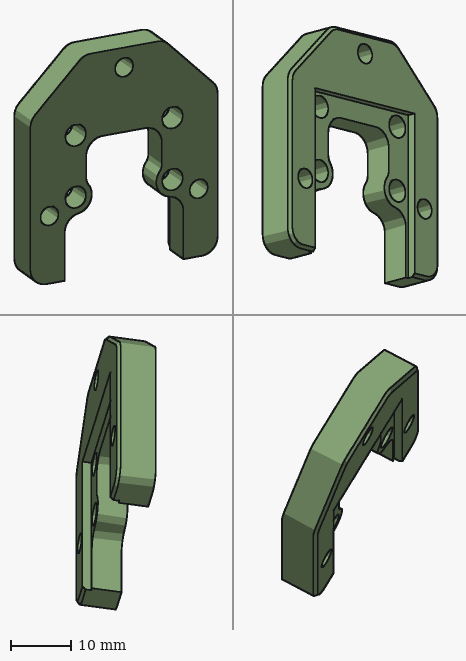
import cadquery as cq
import math

thickness = 6.5
width = 34.72
height = 39.5
shoulder_cut = 9.95
corner_radius = 3.0
edge_chamfer = 0.55

recess_half_width = 11.5
recess_top = 27.93
recess_depth = 1.5

upper_half_width = 7.0
upper_top = 24.5
lower_half_width = 11.0
upper_corner_radius = 3.0
boss_radius = 3.0
upper_blend_radius = 2.2
lower_blend_radius = 3.0

mount_hole_diameter = 3.3
top_hole_z = 36.0
leg_hole_y = 13.82
leg_hole_z = 12.0
inner_hole_diameter = 3.8
inner_hole_y = 8.95
inner_hole_upper_z = 25.48
inner_hole_lower_z = 14.5


def make_plate():
    """Clipped-shoulder plate with rounded corners and a chamfered -X rim."""
    half_width = width / 2
    shoulder_y = half_width - shoulder_cut
    shoulder_z = height - shoulder_cut
    outline = [
        (-half_width, 0),
        (half_width, 0),
        (half_width, shoulder_z),
        (shoulder_y, height),
        (-shoulder_y, height),
        (-half_width, shoulder_z),
    ]
    plate = cq.Workplane("YZ").polyline(outline).close().extrude(thickness)
    plate = plate.edges("|X").fillet(corner_radius)
    return plate.faces("<X").edges().chamfer(edge_chamfer)


def make_recess():
    """Rectangular recess cutter, open at the bottom of the plate."""
    return cq.Workplane("XY").box(
        recess_depth, 2 * recess_half_width, recess_top, centered=(False, True, False)
    )


def blend_centre(wall_y, blend_radius, side):
    """Centre of an arc tangent to a vertical wall and the boss; side is +1 above the boss, -1 below."""
    centre_y = wall_y - blend_radius
    rise = math.sqrt((boss_radius + blend_radius) ** 2 - (inner_hole_y - centre_y) ** 2)
    return centre_y, inner_hole_lower_z + side * rise


def boss_angle(point):
    """Direction of a point seen from the boss centre, between 0 and a full turn."""
    return math.atan2(point[1] - inner_hole_lower_z, point[0] - inner_hole_y) % (2 * math.pi)


def polar(centre, radius, angle):
    """Point at a given distance and direction from a centre."""
    return centre[0] + radius * math.cos(angle), centre[1] + radius * math.sin(angle)


def make_half_opening():
    """The +Y half of the opening, narrowed by the round boss around the lower inner hole."""
    boss_centre = (inner_hole_y, inner_hole_lower_z)
    upper_centre = blend_centre(upper_half_width, upper_blend_radius, 1)
    lower_centre = blend_centre(lower_half_width, lower_blend_radius, -1)
    upper_angle = boss_angle(upper_centre)
    lower_angle = boss_angle(lower_centre)

    upper_tangent = polar(boss_centre, boss_radius, upper_angle)
    lower_tangent = polar(boss_centre, boss_radius, lower_angle)
    boss_middle = polar(boss_centre, boss_radius, (upper_angle + lower_angle) / 2)
    upper_middle = polar(upper_centre, upper_blend_radius, (upper_angle - math.pi) / 2)
    lower_middle = polar(lower_centre, lower_blend_radius, (lower_angle - math.pi) / 2)
    corner_centre = (upper_half_width - upper_corner_radius, upper_top - upper_corner_radius)
    corner_middle = polar(corner_centre, upper_corner_radius, math.pi / 4)

    return (
        cq.Workplane("YZ")
        .moveTo(0, 0)
        .lineTo(lower_half_width, 0)
        .lineTo(lower_half_width, lower_centre[1])
        .threePointArc(lower_middle, lower_tangent)
        .threePointArc(boss_middle, upper_tangent)
        .threePointArc(upper_middle, (upper_half_width, upper_centre[1]))
        .lineTo(upper_half_width, corner_centre[1])
        .threePointArc(corner_middle, (corner_centre[0], upper_top))
        .lineTo(0, upper_top)
        .close()
        .extrude(thickness)
    )


def make_holes(diameter, points):
    """Through-hole cutters along X at the given (y, z) points."""
    return cq.Workplane("YZ").pushPoints(points).circle(diameter / 2).extrude(thickness)


half_opening = make_half_opening()
opening = half_opening.union(half_opening.mirror("XZ"))
mount_points = [(0, top_hole_z), (-leg_hole_y, leg_hole_z), (leg_hole_y, leg_hole_z)]
inner_points = [
    (side * inner_hole_y, z) for side in (-1, 1) for z in (inner_hole_lower_z, inner_hole_upper_z)
]

result = (
    make_plate()
    .cut(make_recess())
    .cut(opening)
    .cut(make_holes(mount_hole_diameter, mount_points))
    .cut(make_holes(inner_hole_diameter, inner_points))
)